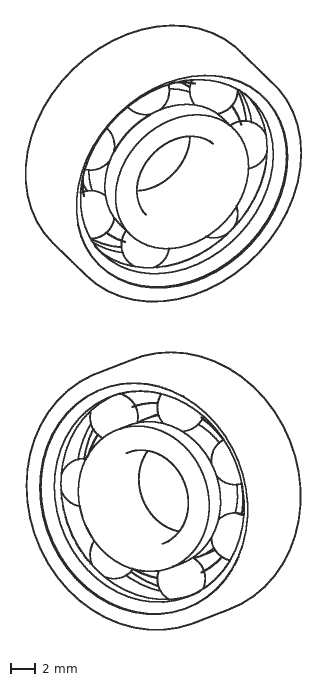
import cadquery as cq
import math

outer_diameter = 22.0
width = 7.0
bore_diameter = 8.0
edge_radius = 0.3

inner_shoulder_radius = 6.07
outer_shoulder_radius = 8.8

lip_radius = 9.64
lip_depth = 0.2
groove_radius = 0.3
cone_depth = 0.15

ball_count = 7
ball_radius = 1.98
pitch_radius = 7.37
wire_radius = 0.02


def ring(outside_radius, inside_radius):
    """Plain ring of full width, centred on the origin."""
    return (
        cq.Workplane("YZ", origin=(-width / 2, 0, 0))
        .circle(outside_radius)
        .circle(inside_radius)
        .extrude(width)
    )


def torus(tube_radius):
    """Torus around X, following the ball pitch circle."""
    centre = cq.Vector(0, 0, 0)
    axis = cq.Vector(1, 0, 0)
    return cq.Workplane(cq.Solid.makeTorus(pitch_radius, tube_radius, centre, axis))


def shield_seat():
    """Cutter for the shield seat at the -X end, revolved around X."""
    face_x = -width / 2
    groove_start_x = face_x + lip_depth
    groove_middle_x = groove_start_x + groove_radius
    groove_end_x = groove_middle_x + groove_radius
    shoulder_x = groove_end_x + cone_depth
    return (
        cq.Workplane("XY")
        .moveTo(face_x, outer_shoulder_radius)
        .lineTo(face_x, lip_radius)
        .lineTo(groove_start_x, lip_radius)
        .threePointArc((groove_middle_x, lip_radius + groove_radius), (groove_end_x, lip_radius))
        .lineTo(shoulder_x, outer_shoulder_radius)
        .close()
        .revolve(360, (0, 0, 0), (1, 0, 0))
    )


def make_outer_ring():
    blank = ring(outer_diameter / 2, outer_shoulder_radius)
    blank = blank.edges(cq.selectors.RadiusNthSelector(-1)).fillet(edge_radius)
    seat = shield_seat()
    return blank.cut(seat).cut(seat.mirror("YZ")).cut(torus(ball_radius))


def make_inner_ring():
    blank = ring(inner_shoulder_radius, bore_diameter / 2)
    blank = blank.edges(cq.selectors.RadiusNthSelector(0)).fillet(edge_radius)
    return blank.cut(torus(ball_radius))


def make_ball_set():
    """Balls spaced evenly on the pitch circle, the first one on +Y, fused with the wire."""
    balls = torus(wire_radius)
    for index in range(ball_count):
        angle = math.radians(index * 360 / ball_count)
        centre = (0, pitch_radius * math.cos(angle), pitch_radius * math.sin(angle))
        balls = balls.union(cq.Workplane("YZ").sphere(ball_radius).translate(centre))
    return balls


outer_ring = make_outer_ring()
inner_ring = make_inner_ring()
ball_set = make_ball_set()

result = cq.Compound.makeCompound([outer_ring.val(), inner_ring.val(), *ball_set.vals()])